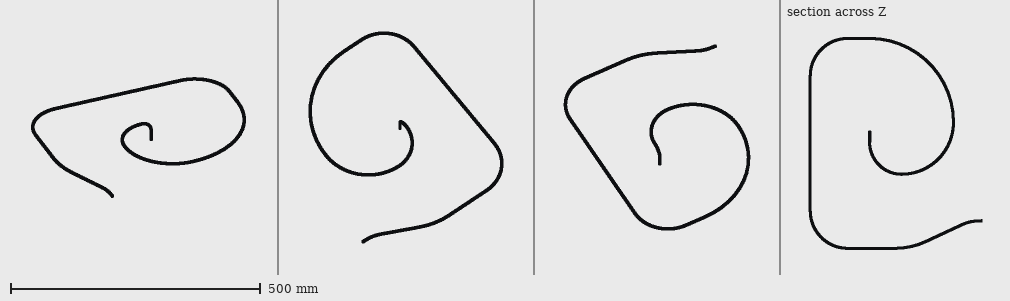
import cadquery as cq
import math


outer_diameter = 4.0
bore_diameter = 3.0

corner_radius = 75.0
bottom_straight = 94.0
rise_angle = 25
rise_radius = 147.5
rise_straight = 80.0
level_radius = 77.0
overall_width = 345.0

overall_length = 424
side_straight = overall_length - outer_diameter - 2 * corner_radius
top_straight = 43.5
large_radius = 168.0
middle_radius = 104.0
small_radius = 64.0

overall_height = 44.0
drop_radius = 20.0
drop_straight = overall_height - outer_diameter / 2 - drop_radius


class TubePath:
    """Chain of tangent lines and arcs, followed by a point and a heading in degrees."""

    def __init__(self, start, heading):
        self.point = cq.Vector(*start)
        self.heading = heading
        self.edges = []

    def direction(self, heading):
        angle = math.radians(heading)
        return cq.Vector(math.cos(angle), math.sin(angle), 0)

    def straight(self, length):
        end = self.point + self.direction(self.heading) * length
        self.edges.append(cq.Edge.makeLine(self.point, end))
        self.point = end

    def bend(self, radius, turn):
        """Turn in the XY plane; a positive turn is to the left."""
        side = math.copysign(90, turn)
        center = self.point + self.direction(self.heading + side) * radius
        middle = center + self.direction(self.heading - side + turn / 2) * radius
        end = center + self.direction(self.heading - side + turn) * radius
        self.edges.append(cq.Edge.makeThreePointArc(self.point, middle, end))
        self.point = end
        self.heading += turn

    def drop(self, radius, length):
        """Turn a quarter circle from level to straight down, then run on."""
        forward = self.direction(self.heading)
        up = cq.Vector(0, 0, 1)
        center = self.point - up * radius
        middle = center + (forward + up) * (radius * math.sqrt(0.5))
        end = center + forward * radius
        self.edges.append(cq.Edge.makeThreePointArc(self.point, middle, end))
        self.edges.append(cq.Edge.makeLine(end, end - up * length))


angle = math.radians(rise_angle)
bends_reach = (rise_radius + level_radius) * math.sin(angle)
rise_reach = rise_straight * math.cos(angle)
tip_straight = (
    overall_width - outer_diameter / 2 - corner_radius - bottom_straight - bends_reach - rise_reach
)
rise_height = (rise_radius + level_radius) * (1 - math.cos(angle)) + rise_straight * math.sin(angle)
tip_point = (overall_width - outer_diameter / 2, rise_height - corner_radius, 0)

path = TubePath(tip_point, 180)
path.straight(tip_straight)
path.bend(level_radius, rise_angle)
path.straight(rise_straight)
path.bend(rise_radius, -rise_angle)
path.straight(bottom_straight)
path.bend(corner_radius, -90)
path.straight(side_straight)
path.bend(corner_radius, -90)
path.straight(top_straight)
for spiral_radius in (large_radius, middle_radius, small_radius):
    path.bend(spiral_radius, -90)
path.drop(drop_radius, drop_straight)

centerline = cq.Workplane(cq.Wire.assembleEdges(path.edges))
section_plane = cq.Plane(origin=tip_point, xDir=(0, 1, 0), normal=(-1, 0, 0))
result = (
    cq.Workplane(section_plane)
    .circle(outer_diameter / 2)
    .circle(bore_diameter / 2)
    .sweep(centerline)
)